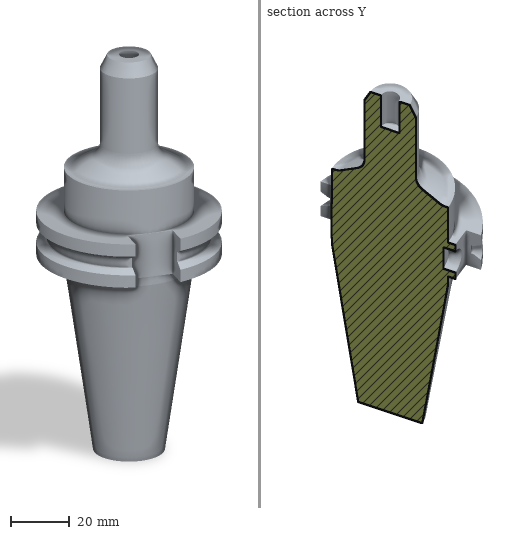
import cadquery as cq
import math

total_height = 144.5

taper_length = 68.2
gauge_radius = 22.2
taper_ratio = 7 / 24
taper_end_radius = gauge_radius - taper_length * taper_ratio / 2

flange_gap = 3.2
flange_thickness = 15.9
flange_diameter = 63.4
flange_radius = flange_diameter / 2
flange_bottom_z = taper_length + flange_gap
flange_top_z = flange_bottom_z + flange_thickness
flange_mid_z = flange_bottom_z + flange_thickness / 2
groove_floor_diameter = 56.2
groove_floor_radius = groove_floor_diameter / 2
groove_ledge_radius = 28.9
groove_inner_width = 3.6
groove_wall_angle = math.radians(30)
groove_wall_depth = flange_radius - groove_ledge_radius
groove_mouth_width = groove_inner_width + 2 * groove_wall_depth * math.tan(groove_wall_angle)

slot_width = 16.2
deep_slot_floor = 22.5
shallow_slot_floor = 25.0

pocket_diameter = 9.5
pocket_depth = 4.6

body_radius = 22.2
body_top_z = 103.3
blend_radius = 5.0
shoulder_outer_radius = 21.2
shoulder_angle = math.radians(30)

neck_radius = 10.0
nose_radius = 7.5
nose_length = 4.9
bore_diameter = 6.8
bore_depth = 14.5


def lower_blend_point(angle):
    """Point (r, z) on the arc tangent to the flat rim, where the slope equals angle."""
    return (
        shoulder_outer_radius - blend_radius * math.sin(angle),
        body_top_z + blend_radius * (1 - math.cos(angle)),
    )


def make_turned_body():
    """Revolve the half profile of the taper, flange, body, shoulder and neck."""
    cone_bottom_r, cone_bottom_z = lower_blend_point(shoulder_angle)
    cone_top_r = neck_radius + blend_radius * (1 - math.sin(shoulder_angle))
    cone_top_z = cone_bottom_z + (cone_bottom_r - cone_top_r) * math.tan(shoulder_angle)
    neck_start_z = cone_top_z + blend_radius * math.cos(shoulder_angle)

    mid_angle = (shoulder_angle + math.pi / 2) / 2
    neck_blend_mid = (
        neck_radius + blend_radius * (1 - math.sin(mid_angle)),
        neck_start_z - blend_radius * math.cos(mid_angle),
    )

    profile = (
        cq.Workplane("XZ")
        .moveTo(0, 0)
        .lineTo(taper_end_radius, 0)
        .lineTo(gauge_radius, taper_length)
        .lineTo(gauge_radius, flange_bottom_z)
        .lineTo(flange_radius, flange_bottom_z)
        .lineTo(flange_radius, flange_mid_z - groove_mouth_width / 2)
        .lineTo(groove_ledge_radius, flange_mid_z - groove_inner_width / 2)
        .lineTo(groove_floor_radius, flange_mid_z - groove_inner_width / 2)
        .lineTo(groove_floor_radius, flange_mid_z + groove_inner_width / 2)
        .lineTo(groove_ledge_radius, flange_mid_z + groove_inner_width / 2)
        .lineTo(flange_radius, flange_mid_z + groove_mouth_width / 2)
        .lineTo(flange_radius, flange_top_z)
        .lineTo(body_radius, flange_top_z)
        .lineTo(body_radius, body_top_z)
        .lineTo(shoulder_outer_radius, body_top_z)
        .threePointArc(lower_blend_point(shoulder_angle / 2), (cone_bottom_r, cone_bottom_z))
        .lineTo(cone_top_r, cone_top_z)
        .threePointArc(neck_blend_mid, (neck_radius, neck_start_z))
        .lineTo(neck_radius, total_height - nose_length)
        .lineTo(nose_radius, total_height)
        .lineTo(0, total_height)
        .close()
    )
    return profile.revolve(360, (0, 0), (0, 1))


def make_drive_slot(floor, side):
    """Slot cutter reaching from the floor out past the flange rim; side is +1 or -1 in X."""
    return (
        cq.Workplane("XY")
        .box(flange_radius, slot_width, flange_thickness)
        .translate((side * (floor + flange_radius / 2), 0, flange_mid_z))
    )


def make_slot_pocket():
    """Round pocket sunk toward the axis from the shallow slot floor on the -X side."""
    return (
        cq.Workplane("YZ", origin=(-shallow_slot_floor, 0, flange_mid_z))
        .circle(pocket_diameter / 2)
        .extrude(pocket_depth)
    )


def make_nose_bore():
    """Blind bore going down from the nose."""
    return (
        cq.Workplane("XY", origin=(0, 0, total_height))
        .circle(bore_diameter / 2)
        .extrude(-bore_depth)
    )


result = (
    make_turned_body()
    .cut(make_drive_slot(deep_slot_floor, 1))
    .cut(make_drive_slot(shallow_slot_floor, -1))
    .cut(make_slot_pocket())
    .cut(make_nose_bore())
)